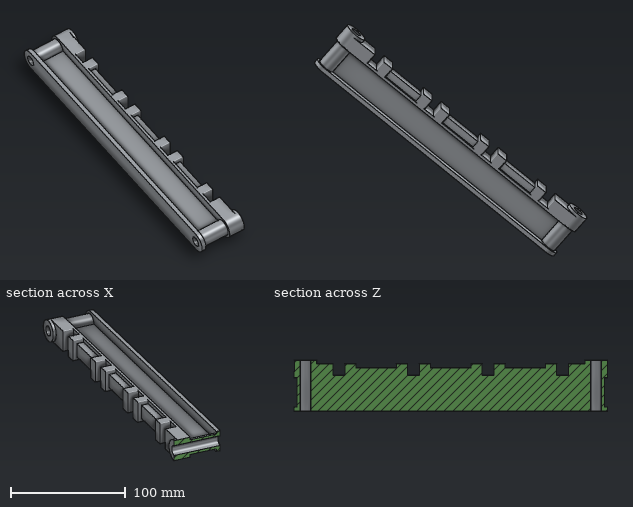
import cadquery as cq

length = 273.0
height = 20.0
hole_diameter = 9.0
end_spacing = length - height

flange_thickness = 4.0
channel_width = 25.2
rail_thickness = 2.5
tooth_depth = 10.0
hub_length = 15.5
rail_front = flange_thickness + channel_width
rail_back = rail_front + rail_thickness
total_depth = rail_front + hub_length

tube_diameter = 15.0
web_thickness = 2.0

tooth_width = 10.0
slot_width = 10.0
slot_pitch = 65.0
slot_count = 4
tooth_edge_radius = 1.0
filler_depth = 6.5
filler_height = 13.0

end_centers = [-end_spacing / 2, end_spacing / 2]
slot_centers = [(i - (slot_count - 1) / 2) * slot_pitch for i in range(slot_count)]


def block(x_start, x_end, y_start, y_end, z_size):
    """Box between the given X and Y limits, centred on Z = 0."""
    return (
        cq.Workplane("XY")
        .box(x_end - x_start, y_end - y_start, z_size)
        .translate(((x_start + x_end) / 2, (y_start + y_end) / 2, 0))
    )


def cylinder(x_center, diameter, y_start, y_end):
    """Cylinder along Y between the given limits."""
    return (
        cq.Workplane("XZ", origin=(x_center, y_start, 0))
        .circle(diameter / 2)
        .extrude(y_start - y_end)
    )


def rounded_plate(y_start, y_end):
    """Full-length plate with semicircular ends."""
    return (
        cq.Workplane("XZ", origin=(0, y_start, 0))
        .slot2D(length, height)
        .extrude(y_start - y_end)
    )


def tooth(x_start, x_end, rounded_sides):
    """Tooth behind the rail, its long edges rounded on the chosen X sides."""
    body = block(x_start, x_end, rail_back, rail_back + tooth_depth, height)
    for side in rounded_sides:
        body = body.faces(side).edges("|Y").fillet(tooth_edge_radius)
    return body


def toothed_rack():
    """End blocks, slot-side teeth and the filler bars between the slots."""
    first_slot_start = slot_centers[0] - slot_width / 2
    last_slot_end = slot_centers[-1] + slot_width / 2
    rack = tooth(end_centers[0], first_slot_start, [">X"])
    rack = rack.union(tooth(last_slot_end, end_centers[1], ["<X"]))
    for left_slot, right_slot in zip(slot_centers, slot_centers[1:]):
        group_start = left_slot + slot_width / 2
        group_end = right_slot - slot_width / 2
        filler_start = group_start + tooth_width
        filler_end = group_end - tooth_width
        filler = block(
            filler_start - tooth_width / 2,
            filler_end + tooth_width / 2,
            rail_back,
            rail_back + filler_depth,
            filler_height,
        )
        rack = rack.union(tooth(group_start, filler_start, ["<X", ">X"]))
        rack = rack.union(tooth(filler_end, group_end, ["<X", ">X"]))
        rack = rack.union(filler)
    return rack


part = rounded_plate(0, flange_thickness)
part = part.union(rounded_plate(rail_front, rail_back))
part = part.union(block(*end_centers, flange_thickness, rail_front, web_thickness))
part = part.union(toothed_rack())

for x_center in end_centers:
    part = part.union(cylinder(x_center, tube_diameter, flange_thickness, rail_front))
    part = part.union(cylinder(x_center, height, rail_front, total_depth))

for x_center in end_centers:
    part = part.cut(cylinder(x_center, hole_diameter, 0, total_depth))

result = part.translate((0, -total_depth / 2, 0))